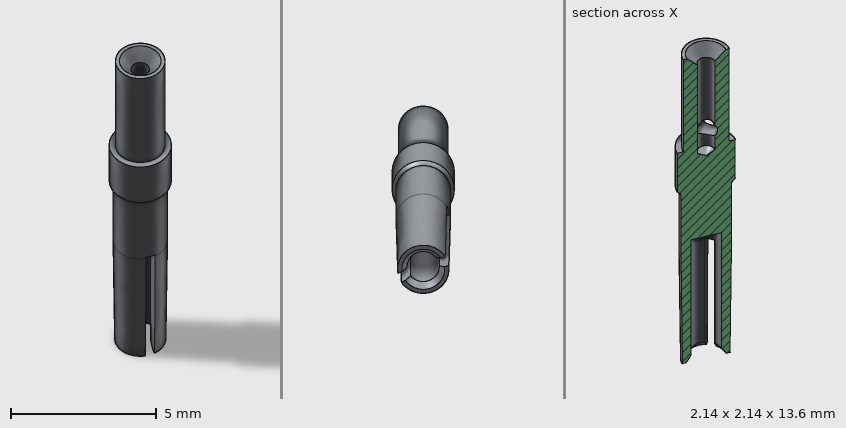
import cadquery as cq

length = 13.6
collar_top = 9.48
collar_bottom = 7.59
collar_chamfer_height = 0.15
taper_top = 4.83

wire_barrel_diameter = 1.7
collar_diameter = 2.14
body_diameter = 1.88
socket_end_diameter = 1.77

wire_bore_diameter = 0.63
lead_in_diameter = 1.43
lead_in_depth = 0.41
wire_bore_floor = 9.25
drill_tip_height = 0.18

socket_diameter = 1.1
socket_depth = 5.44
mouth_diameter = 1.47
mouth_depth = 0.27

slot_width = 0.34
slot_height = 4.88
feature_angle = 146.0
inspection_hole_diameter = 0.68
inspection_hole_height = 10.08


def revolve_profile(points):
    """Turn a closed (radius, height) outline about the Z axis."""
    return cq.Workplane("XZ").polyline(points).close().revolve(360, (0, 0), (0, 1))


def outer_body():
    wire_barrel_radius = wire_barrel_diameter / 2
    collar_radius = collar_diameter / 2
    body_radius = body_diameter / 2
    return revolve_profile([
        (0, 0),
        (socket_end_diameter / 2, 0),
        (body_radius, taper_top),
        (body_radius, collar_bottom),
        (collar_radius, collar_bottom + collar_chamfer_height),
        (collar_radius, collar_top),
        (wire_barrel_radius, collar_top),
        (wire_barrel_radius, length),
        (0, length),
    ])


def wire_bore():
    bore_radius = wire_bore_diameter / 2
    return revolve_profile([
        (0, wire_bore_floor - drill_tip_height),
        (bore_radius, wire_bore_floor),
        (bore_radius, length - lead_in_depth),
        (lead_in_diameter / 2, length),
        (0, length),
    ])


def contact_socket():
    socket_radius = socket_diameter / 2
    return revolve_profile([
        (0, 0),
        (mouth_diameter / 2, 0),
        (socket_radius, mouth_depth),
        (socket_radius, socket_depth),
        (0, socket_depth),
    ])


def contact_slot():
    """Slot across the full diameter that splits the socket into two tines."""
    slot = cq.Workplane("XY").box(collar_diameter, slot_width, slot_height, centered=(True, True, False))
    return slot.rotate((0, 0, 0), (0, 0, 1), feature_angle)


def inspection_hole():
    """Radial hole through one wall only, ending on the axis."""
    hole = (
        cq.Workplane("YZ")
        .center(0, inspection_hole_height)
        .circle(inspection_hole_diameter / 2)
        .extrude(collar_diameter / 2)
    )
    return hole.rotate((0, 0, 0), (0, 0, 1), feature_angle)


result = (
    outer_body()
    .cut(wire_bore())
    .cut(contact_socket())
    .cut(contact_slot())
    .cut(inspection_hole())
)